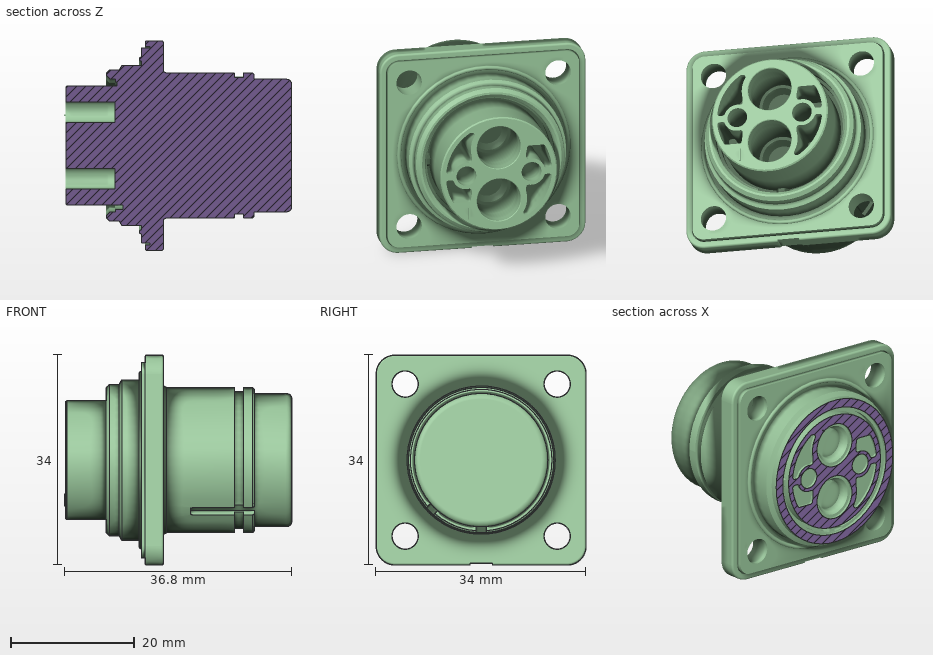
import cadquery as cq


total_length = 36.8
mark_height = 0.18
insert_front_x = -12.86
mark_front_x = insert_front_x - mark_height
rear_end_x = mark_front_x + total_length
sleeve_front_x = -6.3
step_x = -4.2
panel_front_x = -0.6
flange_rear_x = 3.0
groove_front_x = 14.5
groove_rear_x = 15.9
band_rear_x = 17.7

sleeve_radius = 12.25
collar_radius = 13.0
body_radius = 11.75
groove_radius = 11.1
rear_radius = 10.78
sleeve_chamfer = 0.55
step_chamfer_length = 0.45
root_cone_length = 0.5
root_cone_height = 0.25
band_chamfer = 0.3
rear_fillet = 0.9

ring_radius = 14.0
ring_section_radius = 0.35

flange_size = 34.0
flange_corner_radius = 3.1
flange_edge_fillet = 0.33
panel_size = 31.6
panel_corner_radius = 1.95
panel_gap_width = 0.2
panel_gap_depth = 0.8
bolt_pitch = 24.6
bolt_hole_diameter = 4.2
notch_width = 3.6
notch_depth = 0.3

recess_radius = 10.75
recess_chamfer = 0.6
recess_depth = 1.5
gap_radius = 10.27
gap_depth = 2.7
shelf_cut_radius = 10.62
shelf_cut_y_min = -2.05
shelf_cut_y_max = 3.9

key_base_width = 2.15
key_tip_width = 1.05
key_height = 1.0

insert_radius = 9.65
insert_edge_chamfer = 0.2
power_spacing = 8.95
power_hole_radius = 3.6
power_rim_chamfer = 0.1
power_hole_depth = 8.0
power_seat_radius = 3.1
power_core_radius = 2.38
power_cone_depth = 1.2
signal_spacing = 10.75
signal_hole_radius = 1.63
signal_hole_depth = 8.0

pocket_depth = 8.0
pocket_outer_radius = 8.75
pocket_power_wall_radius = 4.65
pocket_signal_wall_radius = 2.25
pocket_web_width = 1.1
pocket_inner_limit = 4.5
pocket_tall_limit = 7.3
pocket_short_limit = 4.5
pocket_corner_radius = 0.4

mark_y = 4.9
mark_z = -6.45
mark_width = 0.25
mark_length = 2.0

slot_front_x = 7.35
slot_corner_radius = 0.4
slot_width = 1.65
slot_angles = (0, 45)


def disc(radius, x_from, x_to, y=0, z=0):
    """Cylinder along X between two stations."""
    return cq.Workplane("YZ", origin=(x_from, y, z)).circle(radius).extrude(x_to - x_from)


def box(x_range, y_range, z_range):
    """Block given by its limits on each axis."""
    size = [high - low for low, high in (x_range, y_range, z_range)]
    corner = (x_range[0], y_range[0], z_range[0])
    return cq.Workplane("XY", origin=corner).box(*size, centered=False)


def turned(points):
    """Solid of revolution about X from (x, radius) points."""
    return cq.Workplane("XY").polyline(points).close().revolve(360, (0, 0, 0), (1, 0, 0))


def about_x(shape, angle):
    """Shape turned about the connector axis."""
    return shape.rotate((0, 0, 0), (1, 0, 0), angle)


def make_shell():
    """Turned outside of the metal shell, from the sleeve mouth to the rear end."""
    shell = turned([
        (sleeve_front_x, 0),
        (sleeve_front_x, sleeve_radius - sleeve_chamfer),
        (sleeve_front_x + sleeve_chamfer, sleeve_radius),
        (step_x, sleeve_radius),
        (step_x + step_chamfer_length, collar_radius),
        (flange_rear_x, collar_radius),
        (flange_rear_x, body_radius + root_cone_height),
        (flange_rear_x + root_cone_length, body_radius),
        (groove_front_x, body_radius),
        (groove_front_x, groove_radius),
        (groove_rear_x, groove_radius),
        (groove_rear_x, body_radius),
        (band_rear_x - band_chamfer, body_radius),
        (band_rear_x, body_radius - band_chamfer),
        (band_rear_x, rear_radius),
        (rear_end_x, rear_radius),
        (rear_end_x, 0),
    ])
    return shell.faces(">X").edges().fillet(rear_fillet)


def square_plate(size, corner_radius, x_from, x_to):
    """Square plate across X with rounded corners."""
    plate = cq.Workplane("YZ", origin=(x_from, 0, 0)).rect(size, size).extrude(x_to - x_from)
    return plate.edges("|X").fillet(corner_radius)


def make_flange():
    """Square flange with its raised front panel in a clearance groove, sealing ring and bottom notch."""
    flange = square_plate(flange_size, flange_corner_radius, 0, flange_rear_x)
    flange = flange.faces("<X or >X").edges().fillet(flange_edge_fillet)
    panel_groove = square_plate(
        panel_size + 2 * panel_gap_width,
        panel_corner_radius + panel_gap_width,
        0,
        panel_gap_depth,
    )
    panel = square_plate(panel_size, panel_corner_radius, panel_front_x, panel_gap_depth)
    flange = flange.cut(panel_groove).union(panel)
    ring = (
        cq.Workplane("XY")
        .center(panel_front_x, ring_radius)
        .circle(ring_section_radius)
        .revolve(360, (0, -ring_radius, 0), (1, -ring_radius, 0))
    )
    half_size = flange_size / 2
    notch = box(
        (0, flange_rear_x),
        (-notch_width / 2, notch_width / 2),
        (-half_size, -half_size + notch_depth),
    )
    return flange.union(ring).cut(notch)


def make_bolt_holes():
    """Four corner holes through the panel and the flange."""
    return (
        cq.Workplane("YZ", origin=(panel_front_x, 0, 0))
        .rect(bolt_pitch, bolt_pitch, forConstruction=True)
        .vertices()
        .circle(bolt_hole_diameter / 2)
        .extrude(flange_rear_x - panel_front_x)
    )


def make_recess():
    """Stepped bore of the sleeve, with the shelf cut away beside the lower key."""
    shelf_x = sleeve_front_x + recess_depth
    floor_x = sleeve_front_x + gap_depth
    bore = turned([
        (sleeve_front_x, 0),
        (sleeve_front_x, recess_radius + recess_chamfer),
        (sleeve_front_x + recess_chamfer, recess_radius),
        (shelf_x, recess_radius),
        (shelf_x, gap_radius),
        (floor_x, gap_radius),
        (floor_x, 0),
    ])
    shelf_cut = disc(shelf_cut_radius, shelf_x, floor_x).intersect(
        box((shelf_x, floor_x), (shelf_cut_y_min, shelf_cut_y_max), (-shelf_cut_radius, 0))
    )
    return bore.union(shelf_cut)


def make_key(tip_radius):
    """Key on the insert pointing down (-Z), tapering towards its front."""
    base_x = sleeve_front_x + gap_depth
    tip_x = base_x - key_height
    half_base = key_base_width / 2
    half_tip = key_tip_width / 2
    outline = [
        (base_x, -half_base),
        (tip_x, -half_tip),
        (tip_x, half_tip),
        (base_x, half_base),
    ]
    root = insert_radius / 2
    prism = cq.Workplane("XY", origin=(0, 0, -root)).polyline(outline).close().extrude(root - tip_radius)
    return prism.intersect(disc(tip_radius, tip_x, base_x))


def make_power_hole(z):
    """Socket with a broken rim, a flat seat and a conical entry to its core."""
    seat_x = insert_front_x + power_hole_depth
    core_x = seat_x + power_cone_depth
    hole = turned([
        (insert_front_x, 0),
        (insert_front_x, power_hole_radius + power_rim_chamfer),
        (insert_front_x + power_rim_chamfer, power_hole_radius),
        (seat_x, power_hole_radius),
        (seat_x, power_seat_radius),
        (core_x, power_core_radius),
        (core_x, 0),
    ])
    return hole.translate((0, 0, z))


def make_pocket(height):
    """Pocket in the +Y +Z quarter of the insert, no taller than the given height."""
    x_from = insert_front_x
    x_to = insert_front_x + pocket_depth
    quarter = box((x_from, x_to), (0, pocket_outer_radius), (pocket_web_width / 2, height))
    pocket = disc(pocket_outer_radius, x_from, x_to).intersect(quarter)
    pocket = pocket.cut(disc(pocket_power_wall_radius, x_from, x_to, z=power_spacing / 2))
    pocket = pocket.cut(disc(pocket_signal_wall_radius, x_from, x_to, y=signal_spacing / 2))
    inner_limit = box((x_from, x_to), (0, pocket_inner_limit), (0, power_spacing / 2))
    return pocket.cut(inner_limit).edges("|X").fillet(pocket_corner_radius)


def make_insert():
    """Plain insert body, standing on the floor of the sleeve recess."""
    insert = disc(insert_radius, insert_front_x, sleeve_front_x + gap_depth)
    return insert.faces("<X").edges().chamfer(insert_edge_chamfer)


def cut_contacts(part):
    """Cut the contact holes and the pockets, which repeat after half a turn."""
    tall_pocket = make_pocket(pocket_tall_limit)
    short_pocket = make_pocket(pocket_short_limit).mirror("XY")
    for side in (1, -1):
        part = part.cut(make_power_hole(side * power_spacing / 2))
        signal_hole = disc(
            signal_hole_radius,
            insert_front_x,
            insert_front_x + signal_hole_depth,
            y=side * signal_spacing / 2,
        )
        part = part.cut(signal_hole)
    for angle in (0, 180):
        part = part.cut(about_x(tall_pocket, angle))
        part = part.cut(about_x(short_pocket, angle))
    return part


def make_index_bar():
    """Raised bar on the front face of the insert."""
    return box(
        (mark_front_x, insert_front_x),
        (mark_y - mark_width / 2, mark_y + mark_width / 2),
        (mark_z - mark_length / 2, mark_z + mark_length / 2),
    )


def make_slot():
    """Slot along the bottom (-Z) of the body, round-cornered in front and open to the band's rear face."""
    half_width = slot_width / 2
    slot = box((slot_front_x, band_rear_x), (-half_width, half_width), (-body_radius, 0))
    slot = slot.edges("|Z and <X").fillet(slot_corner_radius)
    return slot.cut(disc(rear_radius, slot_front_x, band_rear_x))


result = make_shell().union(make_flange()).cut(make_bolt_holes()).cut(make_recess())
result = result.union(make_insert())
result = result.union(make_key(shelf_cut_radius))
result = result.union(about_x(make_key(gap_radius), 90))
result = cut_contacts(result)
result = result.union(make_index_bar())
for slot_angle in slot_angles:
    result = result.cut(about_x(make_slot(), -slot_angle))